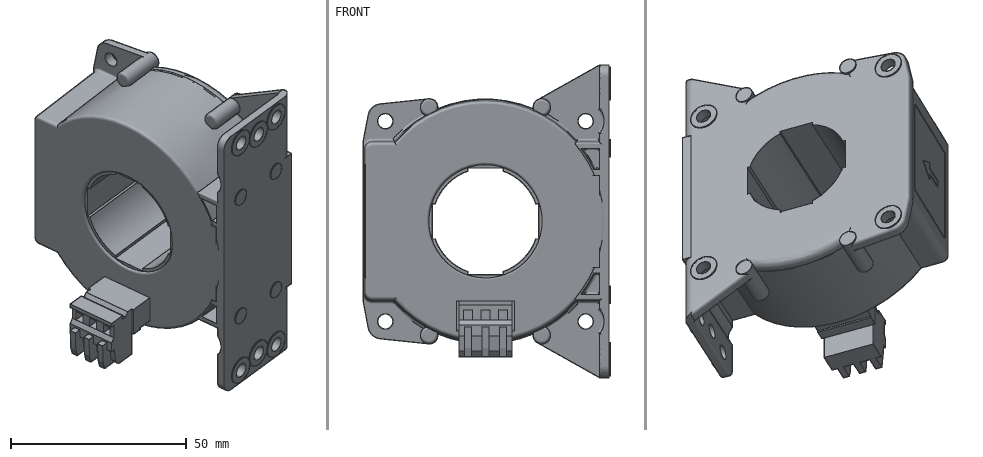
import cadquery as cq
import math

HEIGHT = 89.0
HALF_HEIGHT = HEIGHT / 2
DEPTH = 30.9
PLATE_THICKNESS = 2.8
PAD_HEIGHT = 0.4
EDGE_RADIUS = 0.6
TOLERANCE = 0.1
BACK_EDGE_RADIUS = 0.9
WALL_LENGTH = DEPTH - PLATE_THICKNESS
CORE_EDGE_RADIUS = 2.2
DRAFT = 1.0

HOUSING_RADIUS = 34.6
FLANGE_RADIUS = 34.8
BOX_HALF_HEIGHT = 22.9
BOX_CORNER_RADIUS = 2.5
FRONT_EDGE_RADIUS = 0.9
BORE_RADIUS = 15.1
BORE_FLAT_HALF_WIDTH = 5.0
COUNTERBORE_RADIUS = 16.1
COUNTERBORE_DEPTH = 0.8

LEFT_LUG_X = 32.8
LEFT_LUG_Z = 33.1
LEFT_LUG_RADIUS = 4.0
RIGHT_LUG_SLOPE = 30.0

SIDE_X = 35.15
SIDE_THICKNESS = 2.7
SIDE_INNER_X = SIDE_X - SIDE_THICKNESS
SIDE_MIDDLE_X = SIDE_X - SIDE_THICKNESS / 2
PAD_X = SIDE_X + PAD_HEIGHT
SIDE_CORNER_RADIUS = 3.3
BEND_RADIUS = 3.1
GROOVE_RADIUS = 5.25

HOLE_DIAMETER = 4.3
HOLE_PAD_DIAMETER = 8.0
HOLE_OFFSET = 28.5
PIN_DIAMETER = 5.0
PIN_RADIUS = PIN_DIAMETER / 2
PIN_X = 16.0
PIN_Z = 32.4
PIN_END = 12.9
PIN_TIP_RADIUS = 0.8
SIDE_HOLE_DEPTH = 15.4
SIDE_HOLE_PITCH = 8.0
SIDE_HOLE_Z = 40.0
SIDE_MIDDLE_HOLE_Z = 38.45
SIDE_PAD_Z = 20.8

POCKET_TOP = 20.7
POCKET_BOTTOM = 14.7
INFILL_SETBACK = 0.1
INFILL_EDGE_RADIUS = 0.45
BRIDGE_X = 32.4
BRIDGE_HALF_HEIGHT = 13.1

LABEL_BACK = 4.9
LABEL_FRONT = 28.0
LABEL_HALF_HEIGHT = 16.1
LABEL_RECESS = 0.2
LABEL_CORNER_RADIUS = 0.6
ARROW_ENDS = (5.2, 0.2, -5.9)
ARROW_HEAD_HALF = 3.2
ARROW_SHAFT_HALF = 1.1

SOCKET_WIDTH = 16.5
SOCKET_HALF_WIDTH = SOCKET_WIDTH / 2
SOCKET_TOP = -22.6
SOCKET_BOTTOM = -31.2
SOCKET_STEP = 0.5
SOCKET_STEP_DEPTH = 35.2
SOCKET_FRONT = 38.3
PLUG_WIDTH = 15.1
PLUG_BOTTOM = -38.5
PLUG_SHELF = 47.4
PLUG_FACE = 46.5
PLUG_LOWER_FACE = 46.2
LATCH_FLOOR = -23.85
SHELF_TOP = -29.5
SHELF_BOTTOM = -32.6
RIB_TOP = -30.1
PLUG_BEVEL_FACE = 45.7
PLUG_BEVEL_TOP = -36.9
PLUG_FOOT = 44.2
PLUG_END = 49.5
RIB_KNEE = 49.2
RIB_KNEE_Z = -36.05
RIB_TIP = 48.6
LATCH_START = 40.1
LATCH_RAMP_END = 41.2
LATCH_END = 42.4
TERMINAL_PITCH = 5.0
WINDOW_WIDTH = 2.5
WINDOW_TOP = -25.2
WINDOW_BOTTOM = -28.1
WINDOW_DEPTH = 2.7
RIB_WIDTH = 1.9


def facing(depth=0.0):
    """XZ workplane at a depth from the mounting face; extrusion runs toward -Y."""
    return cq.Workplane("XZ", origin=(0, -depth, 0))


def box(x_min, x_max, depth_min, depth_max, z_min, z_max):
    """Box between X limits, depths from the mounting face and Z limits."""
    size = (x_max - x_min, depth_max - depth_min, z_max - z_min)
    return cq.Workplane("XY").box(*size, centered=False).translate((x_min, -depth_max, z_min))


def both_ends(shape):
    """The shape together with its mirror image in Z."""
    return shape.union(shape.mirror("XY"))


def make_envelope():
    """Flange outline carried through the whole depth, with its back edges rounded."""
    left_lug = (
        facing()
        .polyline([(-FLANGE_RADIUS, 0), (-FLANGE_RADIUS, BOX_HALF_HEIGHT), (-LEFT_LUG_X, LEFT_LUG_Z),
                   (-PIN_X, PIN_Z + PIN_RADIUS), (-PIN_X, 0)]).close()
        .extrude(DEPTH)
        .edges(cq.NearestToPointSelector((-LEFT_LUG_X, -DEPTH / 2, LEFT_LUG_Z))).fillet(LEFT_LUG_RADIUS)
    )
    slope = math.radians(RIGHT_LUG_SLOPE)
    tangent = (PIN_X - PIN_RADIUS * math.sin(slope), PIN_Z + PIN_RADIUS * math.cos(slope))
    right_lug = (
        facing()
        .polyline([tangent, (SIDE_INNER_X, HALF_HEIGHT), (SIDE_X, HALF_HEIGHT), (SIDE_X, 0),
                   (tangent[0], 0)]).close()
        .extrude(DEPTH)
    )
    lugs = both_ends(left_lug.union(right_lug)).faces(">Y").edges().fillet(BACK_EDGE_RADIUS)
    core = facing().circle(FLANGE_RADIUS).extrude(DEPTH).faces(">Y").edges().fillet(CORE_EDGE_RADIUS)
    envelope = lugs.union(core)
    bend = box(-HEIGHT, SIDE_X, 0, DEPTH, -HALF_HEIGHT, HALF_HEIGHT).edges(">X and >Y").fillet(BEND_RADIUS)
    middle = box(SIDE_INNER_X, SIDE_X, 0, BEND_RADIUS, -BOX_HALF_HEIGHT, BOX_HALF_HEIGHT)
    return envelope.intersect(bend).union(middle)


def make_side_plate():
    plate = box(SIDE_INNER_X, SIDE_X, 0, DEPTH - INFILL_SETBACK, -HALF_HEIGHT, HALF_HEIGHT)
    plate = plate.edges("|X and <Y").fillet(SIDE_CORNER_RADIUS)
    grooves = (
        facing()
        .pushPoints([(HOLE_OFFSET, HOLE_OFFSET), (HOLE_OFFSET, -HOLE_OFFSET)])
        .circle(GROOVE_RADIUS)
        .extrude(DEPTH)
    )
    plate = plate.cut(grooves)
    front_edge = cq.selectors.BoxSelector(
        (SIDE_INNER_X - EDGE_RADIUS, -DEPTH, -HEIGHT),
        (SIDE_MIDDLE_X + EDGE_RADIUS, -DEPTH + SIDE_CORNER_RADIUS, HEIGHT),
    )
    return plate.edges(front_edge).fillet(EDGE_RADIUS)


def make_drum():
    return facing(PLATE_THICKNESS).circle(HOUSING_RADIUS).extrude(WALL_LENGTH, taper=DRAFT)


def make_housing():
    """Drum with a square side on the left; the walls are drafted and the front edge is rounded."""
    outline = (
        cq.Sketch().rect(2 * HOUSING_RADIUS, 2 * BOX_HALF_HEIGHT).vertices().fillet(BOX_CORNER_RADIUS)
    )
    block = facing(PLATE_THICKNESS).placeSketch(outline).extrude(WALL_LENGTH, taper=DRAFT)
    block = block.intersect(box(-HOUSING_RADIUS, 0, PLATE_THICKNESS, DEPTH, -HALF_HEIGHT, HALF_HEIGHT))
    return make_drum().union(block).faces("<Y").edges().fillet(FRONT_EDGE_RADIUS)


def make_infill():
    """Block between the drum and the side plate, with two corner pockets next to the drum."""
    infill = (
        facing(PLATE_THICKNESS)
        .rect(2 * SIDE_X, 2 * BOX_HALF_HEIGHT)
        .extrude(WALL_LENGTH - INFILL_SETBACK, taper=DRAFT)
        .faces("<Y").edges("|X").fillet(INFILL_EDGE_RADIUS)
        .intersect(box(0, SIDE_MIDDLE_X, 0, DEPTH, -HALF_HEIGHT, HALF_HEIGHT))
    )
    pocket = box(0, SIDE_INNER_X, PLATE_THICKNESS, DEPTH, POCKET_BOTTOM, POCKET_TOP)
    return infill.cut(both_ends(pocket).cut(make_drum()))


def make_body():
    """Walls on an oversized slab with rounded roots, trimmed to the outline of the flange."""
    slab = box(-HEIGHT, HEIGHT, 0, PLATE_THICKNESS, -HEIGHT, HEIGHT)
    bridge = box(0, BRIDGE_X, PLATE_THICKNESS, DEPTH, -BRIDGE_HALF_HEIGHT, BRIDGE_HALF_HEIGHT)
    body = slab.union(make_side_plate()).union(make_infill()).union(make_housing()).union(bridge)
    root_edges = cq.selectors.BoxSelector(
        (-HOUSING_RADIUS, -PLATE_THICKNESS - TOLERANCE, -HALF_HEIGHT),
        (SIDE_X, -PLATE_THICKNESS + TOLERANCE, HALF_HEIGHT),
    )
    return body.edges(root_edges).fillet(EDGE_RADIUS).intersect(make_envelope())


def cut_bore(body):
    bore = facing().circle(BORE_RADIUS).extrude(DEPTH)
    flat_length = 2 * BORE_RADIUS
    flat_width = 2 * BORE_FLAT_HALF_WIDTH
    horizontal = facing().rect(flat_length, flat_width).extrude(DEPTH)
    vertical = facing().rect(flat_width, flat_length).extrude(DEPTH)
    counterbore = facing(DEPTH - COUNTERBORE_DEPTH).circle(COUNTERBORE_RADIUS).extrude(COUNTERBORE_DEPTH)
    body = body.cut(bore.union(horizontal).union(vertical)).cut(counterbore)
    rim = cq.NearestToPointSelector((0, -DEPTH, 0))
    return body.edges(rim).fillet(EDGE_RADIUS)


def make_pins():
    pins = (
        facing(-PAD_HEIGHT)
        .rect(2 * PIN_X, 2 * PIN_Z, forConstruction=True).vertices()
        .circle(PIN_RADIUS)
        .extrude(PIN_END + PAD_HEIGHT)
    )
    return pins.faces("<Y").edges().fillet(PIN_TIP_RADIUS)


def flange_hole_shapes(diameter, start, length):
    return (
        facing(start)
        .rect(2 * HOLE_OFFSET, 2 * HOLE_OFFSET, forConstruction=True).vertices()
        .circle(diameter / 2)
        .extrude(length)
    )


def side_cylinders(points, diameter, x_min, x_max):
    """Cylinders along X at (depth, Z) points, mirrored to both bracket ends."""
    centers = [(-depth, sign * z) for depth, z in points for sign in (1, -1)]
    plane = cq.Workplane("YZ", origin=(x_min, 0, 0))
    return plane.pushPoints(centers).circle(diameter / 2).extrude(x_max - x_min)


def side_profile(points, width, x_center):
    """Prism along X from (depth, Z) points."""
    outline = [(-depth, z) for depth, z in points]
    plane = cq.Workplane("YZ", origin=(x_center - width / 2, 0, 0))
    return plane.polyline(outline).close().extrude(width)


def make_connector():
    socket = box(-SOCKET_HALF_WIDTH, SOCKET_HALF_WIDTH, DEPTH, SOCKET_FRONT, SOCKET_BOTTOM, SOCKET_TOP)
    socket = socket.cut(
        box(-SOCKET_HALF_WIDTH, SOCKET_HALF_WIDTH, DEPTH, SOCKET_STEP_DEPTH,
            SOCKET_BOTTOM, SOCKET_BOTTOM + SOCKET_STEP)
    )

    plug_outline = [
        (SOCKET_FRONT, SOCKET_TOP), (LATCH_START, SOCKET_TOP), (LATCH_RAMP_END, LATCH_FLOOR),
        (LATCH_END, LATCH_FLOOR), (LATCH_END, SOCKET_TOP), (PLUG_SHELF, SOCKET_TOP),
        (PLUG_SHELF, LATCH_FLOOR), (PLUG_FACE, LATCH_FLOOR), (PLUG_FACE, WINDOW_BOTTOM),
        (PLUG_SHELF, SHELF_TOP), (PLUG_SHELF, SHELF_BOTTOM),
        (PLUG_LOWER_FACE, SHELF_BOTTOM), (PLUG_BEVEL_FACE, PLUG_BEVEL_TOP), (PLUG_FOOT, PLUG_BOTTOM),
        (SOCKET_FRONT, PLUG_BOTTOM),
    ]
    rib_outline = [
        (PLUG_FOOT, RIB_TOP), (PLUG_END, RIB_TOP), (RIB_KNEE, RIB_KNEE_Z), (RIB_TIP, PLUG_BOTTOM),
        (PLUG_FOOT, PLUG_BOTTOM),
    ]
    connector = socket.union(side_profile(plug_outline, PLUG_WIDTH, 0))
    for index in (-1, 0, 1):
        x = index * TERMINAL_PITCH
        half_window = WINDOW_WIDTH / 2
        connector = connector.union(side_profile(rib_outline, RIB_WIDTH, x))
        connector = connector.cut(
            box(x - half_window, x + half_window, PLUG_FACE - WINDOW_DEPTH, PLUG_FACE,
                WINDOW_BOTTOM, WINDOW_TOP)
        )
    return connector


def cut_label(body):
    """Shallow field with a raised arrow on the drafted left wall."""
    wall_depth = (LABEL_BACK + LABEL_FRONT) / 2
    wall_x = -HOUSING_RADIUS + (wall_depth - PLATE_THICKNESS) * math.tan(math.radians(DRAFT))
    field = cq.Workplane("YZ").rect(LABEL_FRONT - LABEL_BACK, 2 * LABEL_HALF_HEIGHT).extrude(LABEL_RECESS)
    field = field.edges("|X").fillet(LABEL_CORNER_RADIUS)
    head, neck, tail = ARROW_ENDS
    arrow = (
        cq.Workplane("YZ")
        .polyline([(head, 0), (neck, ARROW_HEAD_HALF), (neck, ARROW_SHAFT_HALF), (tail, ARROW_SHAFT_HALF),
                   (tail, -ARROW_SHAFT_HALF), (neck, -ARROW_SHAFT_HALF), (neck, -ARROW_HEAD_HALF)]).close()
        .extrude(LABEL_RECESS)
    )
    marking = field.cut(arrow).rotate((0, 0, 0), (0, 0, 1), DRAFT)
    return body.cut(marking.translate((wall_x, -wall_depth, 0)))


flange_pads = flange_hole_shapes(HOLE_PAD_DIAMETER, -PAD_HEIGHT, PLATE_THICKNESS)
flange_holes = flange_hole_shapes(HOLE_DIAMETER, -PAD_HEIGHT, PLATE_THICKNESS + PAD_HEIGHT)

outer_depths = (SIDE_HOLE_DEPTH - SIDE_HOLE_PITCH, SIDE_HOLE_DEPTH + SIDE_HOLE_PITCH)
side_hole_points = [(depth, SIDE_HOLE_Z) for depth in outer_depths]
side_hole_points.append((SIDE_HOLE_DEPTH, SIDE_MIDDLE_HOLE_Z))
side_pad_points = [(depth, SIDE_PAD_Z) for depth in outer_depths]
side_pads = side_cylinders(side_hole_points, HOLE_PAD_DIAMETER, SIDE_MIDDLE_X, PAD_X)
side_pads = side_pads.union(side_cylinders(side_pad_points, PIN_DIAMETER, SIDE_MIDDLE_X, PAD_X))
side_holes = side_cylinders(side_hole_points, HOLE_DIAMETER, SIDE_INNER_X, PAD_X)

result = make_body()
result = cut_bore(result)
result = result.union(make_pins()).union(flange_pads).union(side_pads)
result = result.cut(flange_holes).cut(side_holes)
result = result.union(make_connector())
result = cut_label(result)